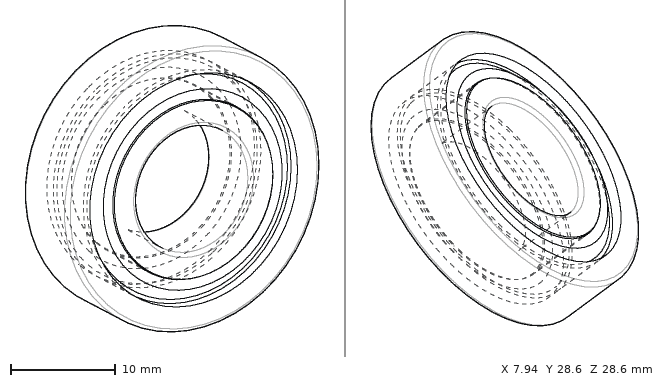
import cadquery as cq

outside_radius = 28.575 / 2
bore_radius = 12.7 / 2
width = 7.9375
edge_radius = 0.4

inner_ring_radius = 8.93
shield_gap = 0.08
shield_bore_radius = inner_ring_radius + shield_gap
shield_crown_radius = 10.07
shield_rim_radius = 11.28
outer_ring_bore_radius = 11.69

crown_depth = 0.16
rim_depth = 1.18

half_width = width / 2
crown_x = half_width - crown_depth
rim_x = half_width - rim_depth


def make_ring(inside, outside):
    """Plain ring as wide as the bearing, with square edges."""
    end_face = cq.Workplane("YZ", origin=(-half_width, 0, 0))
    return end_face.circle(outside).circle(inside).extrude(width)


def round_edges(ring, radius):
    """Round the two circular edges of a ring that have the given radius."""
    edges = [e for e in ring.edges("%CIRCLE").vals() if abs(e.radius() - radius) < edge_radius]
    return ring.newObject(edges).fillet(edge_radius)


outer_ring = round_edges(make_ring(outer_ring_bore_radius, outside_radius), outside_radius)

inner_ring = round_edges(make_ring(bore_radius, inner_ring_radius), bore_radius)

shield = (
    cq.Workplane("XY")
    .moveTo(-crown_x, shield_bore_radius)
    .lineTo(-crown_x, shield_crown_radius)
    .lineTo(-rim_x, shield_rim_radius)
    .lineTo(-rim_x, outer_ring_bore_radius)
    .lineTo(rim_x, outer_ring_bore_radius)
    .lineTo(rim_x, shield_rim_radius)
    .lineTo(crown_x, shield_crown_radius)
    .lineTo(crown_x, shield_bore_radius)
    .close()
    .revolve(360, (0, 0, 0), (1, 0, 0))
)

result = cq.Compound.makeCompound([outer_ring.val(), inner_ring.val(), shield.val()])